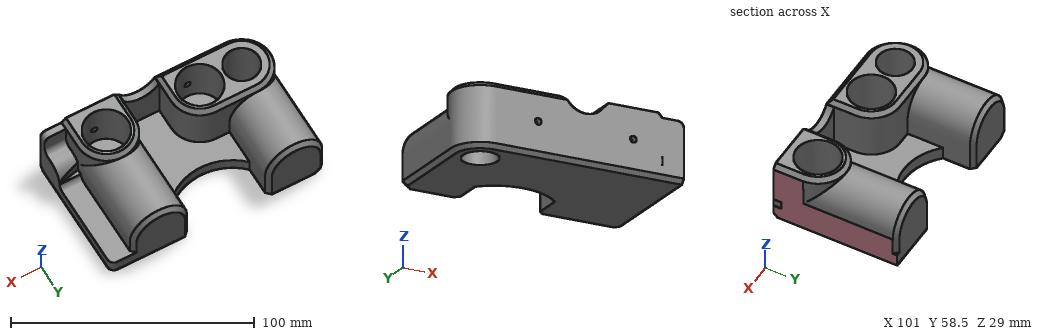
import cadquery as cq
import math

length = 101.0
depth = 58.5
height = 29.0
edge_chamfer = 2.0
corner_round = 3.0

pick_margin = 1.0

arm_width = 27.0
arm_radius = arm_width / 2
arm_top = height - edge_chamfer
arm_axis_height = arm_top - arm_radius
right_axis_x = 77.5
arm_axes_x = (arm_radius, right_axis_x)

through_bore_diameter = 16.0
blind_bore_diameter = 20.2
left_blind_bore_x = 33.3
pin_hole_diameter = 2.8
pin_hole_height = 15.2

plate_thickness = 6.1
cutout_radius = 26.0
cutout_axis_x = sum(arm_axes_x) / 2
cutout_axis_y = 61.9

wall_thickness = 3.6
dip_radius = 10.2
dip_floor = 22.5
left_boss_end = left_blind_bore_x + arm_radius
right_boss_start = right_axis_x - arm_radius
right_boss_end = right_axis_x + arm_radius
dip_axis_x = (left_boss_end + right_boss_start) / 2

slit_x = 90.9
slit_bottom = 6.3
slit_height = 3.4
slit_width = 0.1

hump_back_y = 16.0
hump_crest_y = 8.5
hump_round = hump_back_y - hump_crest_y
step_height = plate_thickness + corner_round
crest_height = step_height + hump_round


def block(x_start, x_end, y_start, y_end, z_top):
    """Box standing on the bottom plane."""
    size = (x_end - x_start, y_end - y_start, z_top)
    return cq.Workplane("XY").box(*size, centered=False).translate((x_start, y_start, 0))


def make_arm(axis_x):
    """Flat-sided arm with a half-round top and a chamfered back end."""
    arm = (
        cq.Workplane("XZ", origin=(axis_x, arm_radius, 0))
        .moveTo(-arm_radius, 0)
        .lineTo(-arm_radius, arm_axis_height)
        .threePointArc((0, arm_top), (arm_radius, arm_axis_height))
        .lineTo(arm_radius, 0)
        .close()
        .extrude(arm_radius - depth)
    )
    bottom_edge = cq.selectors.BoxSelector(
        (axis_x - pick_margin, depth - pick_margin, -pick_margin),
        (axis_x + pick_margin, depth + pick_margin, pick_margin),
    )
    return arm.edges(cq.StringSyntaxSelector(">Y") - bottom_edge).chamfer(edge_chamfer)


def make_left_boss():
    """Slot-shaped boss with one square front corner and a chamfered rim."""
    return (
        cq.Workplane("XY")
        .moveTo(arm_radius, 0)
        .lineTo(left_boss_end, 0)
        .lineTo(left_boss_end, arm_radius)
        .radiusArc((left_blind_bore_x, 2 * arm_radius), -arm_radius)
        .lineTo(arm_radius, 2 * arm_radius)
        .threePointArc((0, arm_radius), (arm_radius, 0))
        .close()
        .extrude(height)
        .faces(">Z")
        .edges()
        .chamfer(edge_chamfer)
    )


def make_right_boss():
    """Boss with a round back and a flat front; the front rim stays sharp."""
    return (
        cq.Workplane("XY")
        .moveTo(right_boss_start, 0)
        .lineTo(right_boss_end, 0)
        .lineTo(right_boss_end, arm_radius)
        .threePointArc((right_axis_x, 2 * arm_radius), (right_boss_start, arm_radius))
        .close()
        .extrude(height)
        .faces(">Z")
        .edges("not <Y")
        .chamfer(edge_chamfer)
    )


def make_plate():
    """Base plate between the arms and out to the right end."""
    plate = block(arm_radius, length, 0, depth, plate_thickness)
    plate = plate.edges("|Z and >X and >Y").fillet(corner_round)
    cutout = (
        cq.Workplane("XY")
        .center(cutout_axis_x, cutout_axis_y)
        .circle(cutout_radius)
        .extrude(plate_thickness)
    )
    return plate.cut(cutout)


def make_wall():
    """Thin front wall with the round dip and a rounded end corner."""
    wall = block(left_blind_bore_x, length, 0, wall_thickness, arm_top)
    wall = wall.edges("|Y and >X and >Z").fillet(corner_round)
    dip = (
        cq.Workplane("XZ")
        .center(dip_axis_x, dip_floor + dip_radius)
        .circle(dip_radius)
        .extrude(-wall_thickness)
    )
    return wall.cut(dip)


def make_hump():
    """Filleted step carrying a quarter-round hump whose back face is skewed."""
    foot_y = hump_back_y + corner_round
    crest_end_y = wall_thickness + corner_round
    fillet_top = crest_height + corner_round
    diagonal = math.cos(math.pi / 4)
    width = length - right_axis_x
    start = cq.Workplane("YZ", origin=(right_axis_x, 0, 0))

    step = (
        start.lineTo(foot_y, 0)
        .lineTo(foot_y, plate_thickness)
        .radiusArc((hump_back_y, step_height), corner_round)
        .lineTo(0, step_height)
        .close()
        .extrude(width)
    )
    hump = (
        start.lineTo(hump_back_y, 0)
        .lineTo(hump_back_y, step_height)
        .threePointArc(
            (hump_crest_y + hump_round * diagonal, step_height + hump_round * diagonal),
            (hump_crest_y, crest_height),
        )
        .lineTo(crest_end_y, crest_height)
        .radiusArc((wall_thickness, fillet_top), corner_round)
        .lineTo(0, fillet_top)
        .close()
        .extrude(width)
    )
    skewed_trim = (
        cq.Workplane("XY", origin=(0, 0, step_height))
        .moveTo(right_axis_x, hump_back_y)
        .lineTo(right_axis_x, arm_radius)
        .lineTo(right_boss_end, arm_radius)
        .lineTo(length, hump_back_y)
        .close()
        .extrude(hump_round)
    )
    return step.union(hump.cut(skewed_trim))


def bore(x, diameter, floor):
    """Vertical bore, open at the top."""
    return (
        cq.Workplane("XY", origin=(x, arm_radius, floor))
        .circle(diameter / 2)
        .extrude(height - floor)
    )


body = make_left_boss().union(make_right_boss())
for axis_x in arm_axes_x:
    body = body.union(make_arm(axis_x))
body = body.union(make_plate()).union(make_wall()).union(make_hump())
body = body.clean()

pick_start = (-pick_margin, -pick_margin, -pick_margin)
left_bottom = cq.selectors.BoxSelector(pick_start, (arm_radius / 2, depth, pick_margin))
front_bottom = cq.selectors.BoxSelector(pick_start, (length, pick_margin, pick_margin))
body = body.edges(left_bottom + front_bottom).chamfer(edge_chamfer)

body = body.cut(bore(arm_radius, through_bore_diameter, 0))
for boss_x in (left_blind_bore_x, right_axis_x):
    pin_hole = (
        cq.Workplane("XZ")
        .center(boss_x, pin_hole_height)
        .circle(pin_hole_diameter / 2)
        .extrude(-arm_radius)
    )
    body = body.cut(bore(boss_x, blind_bore_diameter, plate_thickness)).cut(pin_hole)

slit = (
    cq.Workplane("XY")
    .box(slit_width, wall_thickness, slit_height, centered=(True, False, False))
    .translate((slit_x, 0, slit_bottom))
)
result = body.cut(slit)